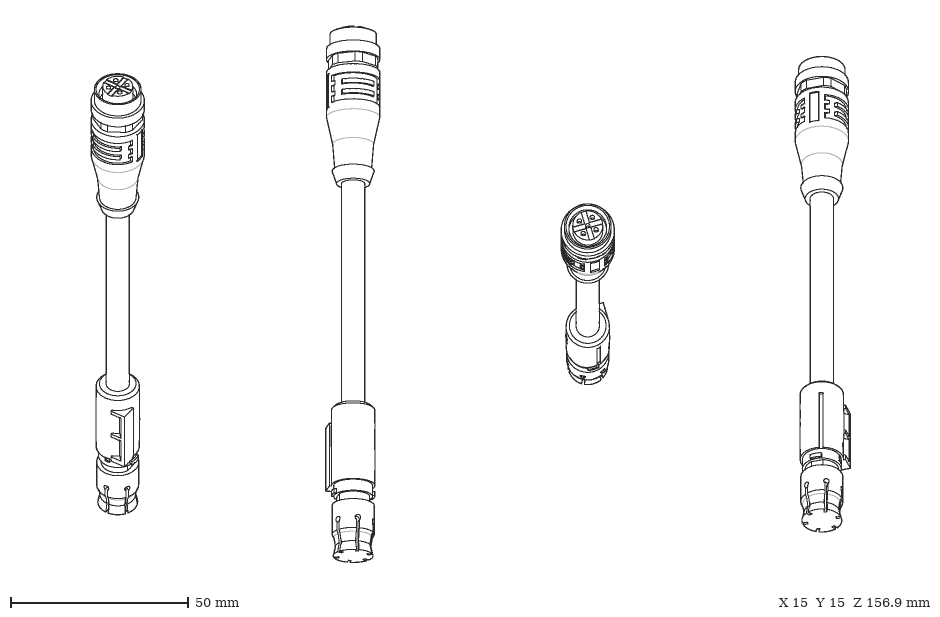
import cadquery as cq
import math


TOTAL_LENGTH = 156.9
CABLE_RADIUS = 3.3

SOCKET_RADIUS = 7.5
INSERT_RADIUS = 4.2
NUT_RADIUS = 6.6
NUT_BORE_RADIUS = 5.3
NUT_BORE_DEPTH = 4.7
NUT_MOUTH_RADIUS = 6.1
NUT_MOUTH_DEPTH = 1.9
NUT_TOP_Z = 155.8
RING_TOP_Z = 151.5
RING_BOTTOM_Z = 148.3
HEX_RADIUS = 7.0
HEX_ACROSS_FLATS = 13.2
HEX_BOTTOM_Z = 145.5
SOCKET_NECK_RADIUS = 4.7
GRIP_TOP_Z = 144.5
GRIP_BOTTOM_Z = 131.0
TAPER_RADIUS = 5.8
TAPER_BOTTOM_Z = 123.0
SLEEVE_END_RADIUS = 5.2
COLLAR_TOP_RADIUS = 6.0
COLLAR_BOTTOM_RADIUS = 4.7
COLLAR_TOP_Z = 115.0
COLLAR_BOTTOM_Z = 111.2

CONTACT_COUNT = 4
CONTACT_START_ANGLE = 45
CONTACT_HOLE_DIAMETER = 1.3
CONTACT_CIRCLE_RADIUS = 2.7
CONTACT_HOLE_DEPTH = 3.1
CROSS_GROOVE_WIDTH = 1.4
CROSS_GROOVE_DEPTH = 0.3

PAD_DEPTH = 0.6
PAD_TOP_Z = 142.0
PAD_BOTTOM_Z = 134.0
PAD_EDGE_Y = 3.0
RIB_COUNT = 2
RIB_HEIGHT = 1.3
RIB_TAB_X = 6.3
RIB_ISLAND_X = 4.5
SIDE_RECESS_WIDTH = 2.7
SIDE_RECESS_TOP_Z = 143.1
SIDE_RECESS_BOTTOM_Z = 133.0
SIDE_RECESS_DEPTH = 0.5

PLUG_BODY_RADIUS = 6.1
PLUG_BODY_BULGE = 0.1
PLUG_BODY_TOP_Z = 44.5
PLUG_BODY_BOTTOM_Z = 21.0
PLUG_BODY_CHAMFER = 1.0
PLUG_SHOULDER_RADIUS = 5.5
PLUG_SHOULDER_BOTTOM_Z = 17.7
PLUG_NECK_RADIUS = 4.7
SNAP_TOP_Z = 15.0
SNAP_RADIUS = 6.0
SNAP_EDGE_Z = 6.5
SNAP_CONE_RADIUS = 5.5
SNAP_CONE_BOTTOM_Z = 5.5
SNAP_WAIST_RADIUS = 5.0
SNAP_WAIST_Z = 2.8
SNAP_END_RADIUS = 5.6

SLIT_COUNT = 6
SLIT_START_ANGLE = 30
SLIT_WIDTH = 0.8
SLIT_FLOOR_RADIUS = 4.2
SLIT_HOLE_DIAMETER = 1.5
SLIT_HOLE_Z = 9.5

KEY_WIDTH = 3.3
KEY_RADIUS = 6.1
KEY_TOP_Z = 19.1
KEY_HEIGHT = 1.3
NECK_FLAT_DISTANCE = 4.4
MARK_SIZE = 1.5
MARK_DEPTH = 0.5
MARK_Z = 20.0
SIDE_GROOVE_Y = -1.5
SIDE_GROOVE_WIDTH = 1.1
SIDE_GROOVE_TOP_Z = 39.9
SIDE_GROOVE_DEPTH = 0.6

FLAG_INNER = 1.9
FLAG_OUTER = 6.5
FLAG_TOP_Z = 39.9
FLAG_ARM_HEIGHT = 1.1
FLAG_BOTTOM_ARM_HEIGHT = 1.5
FLAG_POCKET_OUTER_X = 5.2
FLAG_POCKET_INNER_X = 3.8


def box_between(x_range, y_range, z_range):
    """Box given by its lower and upper limits along each axis."""
    sizes = [high - low for low, high in (x_range, y_range, z_range)]
    corner = (x_range[0], y_range[0], z_range[0])
    return cq.Workplane("XY").box(*sizes, centered=False).translate(corner)


def disc(radius, bottom_z, top_z):
    return cq.Workplane("XY").workplane(offset=bottom_z).circle(radius).extrude(top_z - bottom_z)


def revolve_profile(profile):
    return profile.close().revolve(360, (0, 0, 0), (0, 1, 0))


def make_nut():
    """Screw nut with a bored and flared mouth, a wide ring and a rounded hexagon below."""
    nut = disc(NUT_RADIUS, RING_TOP_Z, NUT_TOP_Z)
    nut = nut.union(disc(SOCKET_RADIUS, RING_BOTTOM_Z, RING_TOP_Z))
    hex_corner_diameter = HEX_ACROSS_FLATS / math.cos(math.pi / 6)
    hexagon = (
        cq.Workplane("XY")
        .workplane(offset=HEX_BOTTOM_Z)
        .polygon(6, hex_corner_diameter)
        .extrude(RING_BOTTOM_Z - HEX_BOTTOM_Z)
        .rotate((0, 0, 0), (0, 0, 1), 30)
        .intersect(disc(HEX_RADIUS, HEX_BOTTOM_Z, RING_BOTTOM_Z))
    )
    bore = disc(NUT_BORE_RADIUS, NUT_TOP_Z - NUT_BORE_DEPTH, NUT_TOP_Z)
    mouth = (
        cq.Workplane("XY")
        .workplane(offset=NUT_TOP_Z - NUT_MOUTH_DEPTH)
        .circle(NUT_BORE_RADIUS)
        .workplane(offset=NUT_MOUTH_DEPTH)
        .circle(NUT_MOUTH_RADIUS)
        .loft()
    )
    return nut.union(hexagon).cut(bore).cut(mouth)


def make_insert():
    """Contact carrier with one central and four surrounding contact holes."""
    insert = disc(INSERT_RADIUS, RING_BOTTOM_Z, TOTAL_LENGTH)
    groove = cq.Workplane("XY").workplane(offset=TOTAL_LENGTH - CROSS_GROOVE_DEPTH)
    for length, width in (
        (2 * INSERT_RADIUS, CROSS_GROOVE_WIDTH),
        (CROSS_GROOVE_WIDTH, 2 * INSERT_RADIUS),
    ):
        insert = insert.cut(groove.rect(length, width).extrude(CROSS_GROOVE_DEPTH))
    holes = (
        cq.Workplane("XY")
        .workplane(offset=TOTAL_LENGTH - CONTACT_HOLE_DEPTH)
        .polarArray(CONTACT_CIRCLE_RADIUS, CONTACT_START_ANGLE, 360, CONTACT_COUNT)
        .circle(CONTACT_HOLE_DIAMETER / 2)
        .extrude(CONTACT_HOLE_DEPTH)
    )
    centre_hole = disc(CONTACT_HOLE_DIAMETER / 2, TOTAL_LENGTH - CONTACT_HOLE_DEPTH, TOTAL_LENGTH)
    return insert.cut(holes).cut(centre_hole)


def make_grip():
    """Moulded grip, tapering to a collar around the cable."""
    profile = (
        cq.Workplane("XZ")
        .moveTo(0, COLLAR_BOTTOM_Z)
        .lineTo(COLLAR_BOTTOM_RADIUS, COLLAR_BOTTOM_Z)
        .lineTo(COLLAR_TOP_RADIUS, COLLAR_TOP_Z)
        .lineTo(SLEEVE_END_RADIUS, COLLAR_TOP_Z)
        .lineTo(TAPER_RADIUS, TAPER_BOTTOM_Z)
        .lineTo(SOCKET_RADIUS, GRIP_BOTTOM_Z)
        .lineTo(SOCKET_RADIUS, GRIP_TOP_Z)
        .lineTo(SOCKET_NECK_RADIUS, GRIP_TOP_Z)
        .lineTo(SOCKET_NECK_RADIUS, HEX_BOTTOM_Z)
        .lineTo(0, HEX_BOTTOM_Z)
    )
    return revolve_profile(profile)


def make_grip_pads():
    """Material removed for both ribbed pads; each rib has a centre island and two end tabs."""
    pad_height = PAD_TOP_Z - PAD_BOTTOM_Z
    ring = disc(SOCKET_RADIUS, PAD_BOTTOM_Z, PAD_TOP_Z)
    ring = ring.cut(disc(SOCKET_RADIUS - PAD_DEPTH, PAD_BOTTOM_Z, PAD_TOP_Z))
    across = (-SOCKET_RADIUS, SOCKET_RADIUS)
    pads = ring.cut(box_between(across, (-PAD_EDGE_Y, PAD_EDGE_Y), (PAD_BOTTOM_Z, PAD_TOP_Z)))
    groove_height = (pad_height - RIB_COUNT * RIB_HEIGHT) / (RIB_COUNT + 1)
    for index in range(RIB_COUNT):
        rib_bottom = PAD_BOTTOM_Z + groove_height + index * (RIB_HEIGHT + groove_height)
        rib_z = (rib_bottom, rib_bottom + RIB_HEIGHT)
        pads = pads.cut(box_between((-RIB_ISLAND_X, RIB_ISLAND_X), across, rib_z))
        pads = pads.cut(box_between((RIB_TAB_X, SOCKET_RADIUS), across, rib_z))
        pads = pads.cut(box_between((-SOCKET_RADIUS, -RIB_TAB_X), across, rib_z))
    return pads


def make_side_recesses():
    y_range = (-SIDE_RECESS_WIDTH / 2, SIDE_RECESS_WIDTH / 2)
    z_range = (SIDE_RECESS_BOTTOM_Z, SIDE_RECESS_TOP_Z)
    recess = box_between((SOCKET_RADIUS - SIDE_RECESS_DEPTH, SOCKET_RADIUS), y_range, z_range)
    return recess.union(recess.mirror("YZ"))


def make_plug():
    """Round plug: barrel-shaped body, shoulder, neck and flared snap ring."""
    chamfer_z = PLUG_BODY_TOP_Z - PLUG_BODY_CHAMFER
    profile = (
        cq.Workplane("XZ")
        .lineTo(SNAP_END_RADIUS, 0)
        .lineTo(SNAP_WAIST_RADIUS, SNAP_WAIST_Z)
        .lineTo(SNAP_CONE_RADIUS, SNAP_CONE_BOTTOM_Z)
        .lineTo(SNAP_RADIUS, SNAP_EDGE_Z)
        .lineTo(SNAP_RADIUS, SNAP_TOP_Z)
        .lineTo(PLUG_NECK_RADIUS, SNAP_TOP_Z)
        .lineTo(PLUG_NECK_RADIUS, PLUG_SHOULDER_BOTTOM_Z)
        .lineTo(PLUG_SHOULDER_RADIUS, PLUG_SHOULDER_BOTTOM_Z)
        .lineTo(PLUG_SHOULDER_RADIUS, PLUG_BODY_BOTTOM_Z)
        .lineTo(PLUG_BODY_RADIUS, PLUG_BODY_BOTTOM_Z)
        .threePointArc(
            (PLUG_BODY_RADIUS + PLUG_BODY_BULGE, (PLUG_BODY_BOTTOM_Z + chamfer_z) / 2),
            (PLUG_BODY_RADIUS, chamfer_z),
        )
        .lineTo(PLUG_BODY_RADIUS - PLUG_BODY_CHAMFER, PLUG_BODY_TOP_Z)
        .lineTo(0, PLUG_BODY_TOP_Z)
    )
    return revolve_profile(profile)


def make_slits():
    """Slits open at the plug end, each starting at a round relief hole."""
    reach = SNAP_RADIUS - SLIT_FLOOR_RADIUS
    half_width = SLIT_WIDTH / 2
    slit = box_between((SLIT_FLOOR_RADIUS, SNAP_RADIUS), (-half_width, half_width), (0, SLIT_HOLE_Z))
    hole = (
        cq.Workplane("YZ", origin=(SLIT_FLOOR_RADIUS, 0, SLIT_HOLE_Z))
        .circle(SLIT_HOLE_DIAMETER / 2)
        .extrude(reach)
    )
    slit = slit.union(hole)
    slits = cq.Workplane("XY")
    for index in range(SLIT_COUNT):
        angle = SLIT_START_ANGLE + index * 360 / SLIT_COUNT
        slits = slits.add(slit.rotate((0, 0, 0), (0, 0, 1), angle))
    return slits.combine()


def make_keys():
    """Two opposite coding keys on the shoulder."""
    bar = box_between(
        (-KEY_RADIUS, KEY_RADIUS), (-KEY_WIDTH / 2, KEY_WIDTH / 2), (KEY_TOP_Z - KEY_HEIGHT, KEY_TOP_Z)
    )
    return bar.intersect(disc(KEY_RADIUS, KEY_TOP_Z - KEY_HEIGHT, KEY_TOP_Z))


def make_neck_flats():
    across = (-PLUG_NECK_RADIUS, PLUG_NECK_RADIUS)
    z_range = (SNAP_TOP_Z, PLUG_SHOULDER_BOTTOM_Z)
    flat = box_between((NECK_FLAT_DISTANCE, PLUG_NECK_RADIUS), across, z_range)
    return flat.union(flat.mirror("YZ"))


def make_mark():
    """Square orientation mark sunk into the -Y side of the shoulder."""
    floor_y = MARK_DEPTH - PLUG_SHOULDER_RADIUS
    half_size = MARK_SIZE / 2
    return box_between(
        (-half_size, half_size), (-PLUG_SHOULDER_RADIUS, floor_y), (MARK_Z - half_size, MARK_Z + half_size)
    )


def make_side_groove():
    outer_x = -PLUG_BODY_RADIUS - PLUG_BODY_BULGE
    floor_x = SIDE_GROOVE_DEPTH - math.sqrt(PLUG_BODY_RADIUS**2 - SIDE_GROOVE_Y**2)
    y_range = (SIDE_GROOVE_Y - SIDE_GROOVE_WIDTH / 2, SIDE_GROOVE_Y + SIDE_GROOVE_WIDTH / 2)
    return box_between((outer_x, floor_x), y_range, (PLUG_BODY_BOTTOM_Z, SIDE_GROOVE_TOP_Z))


def make_flag():
    """Square corner flag; three arms remain around two pockets with a sloping side."""
    side = (FLAG_INNER, FLAG_OUTER)
    flag = box_between(side, (-FLAG_OUTER, -FLAG_INNER), (PLUG_BODY_BOTTOM_Z, FLAG_TOP_Z))
    pocket_bottom = PLUG_BODY_BOTTOM_Z + FLAG_BOTTOM_ARM_HEIGHT
    pocket_height = (FLAG_TOP_Z - pocket_bottom - 2 * FLAG_ARM_HEIGHT) / 2
    inner_y = -math.sqrt(PLUG_BODY_RADIUS**2 - FLAG_POCKET_INNER_X**2)
    for bottom_z in (pocket_bottom, pocket_bottom + pocket_height + FLAG_ARM_HEIGHT):
        pocket = (
            cq.Workplane("XY")
            .workplane(offset=bottom_z)
            .moveTo(FLAG_INNER, -FLAG_OUTER)
            .lineTo(FLAG_POCKET_OUTER_X, -FLAG_OUTER)
            .lineTo(FLAG_POCKET_INNER_X, inner_y)
            .lineTo(FLAG_INNER, inner_y)
            .close()
            .extrude(pocket_height)
        )
        flag = flag.cut(pocket)
    return flag


grip = make_grip().cut(make_grip_pads()).cut(make_side_recesses())
socket = grip.union(make_nut()).union(make_insert())

plug = make_plug().cut(make_slits()).cut(make_neck_flats()).cut(make_mark()).cut(make_side_groove())
plug = plug.union(make_keys()).union(make_flag())

cable = disc(CABLE_RADIUS, PLUG_BODY_TOP_Z, COLLAR_BOTTOM_Z)
result = cable.union(socket).union(plug)